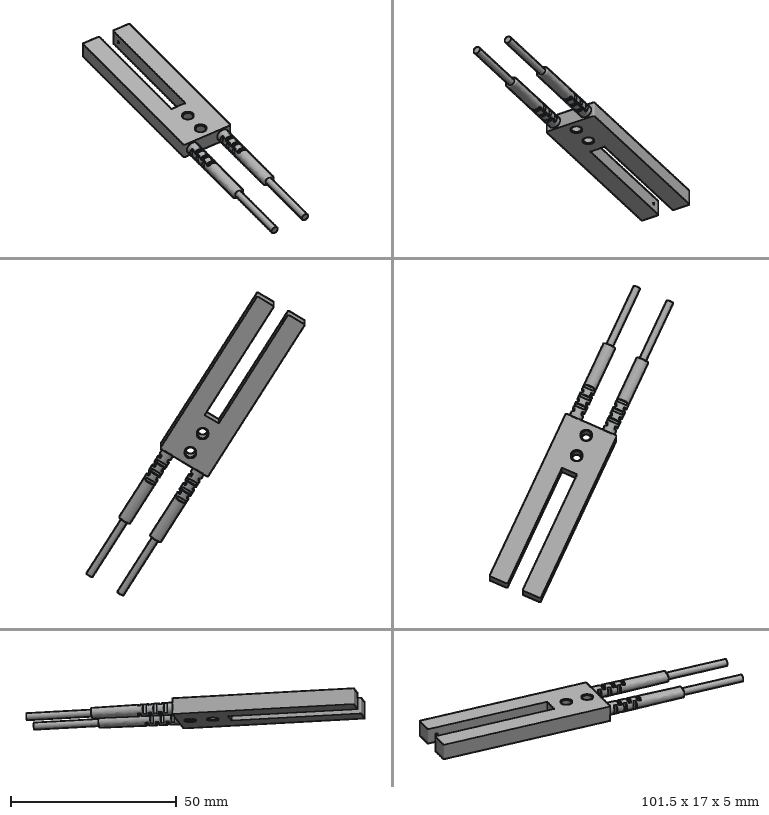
import cadquery as cq

total_length = 101.5

housing_length = 56.0
housing_width = 17.0
housing_height = 5.0
arm_width = 6.0
gap_width = housing_width - 2 * arm_width
gap_depth = 40.0
tip_corner_radius = 0.36
rear_corner_radius = 0.4

hole_diameter = 3.0
hole_chamfer = 0.3
hole_pitch = 7.0
rear_hole_inset = 3.8
rear_hole_x = housing_length - rear_hole_inset
mounting_hole_xs = [rear_hole_x - hole_pitch, rear_hole_x]

lens_diameter = 0.7
lens_depth = 1.0
lens_x = 2.9

cable_diameter = 2.2
cable_spacing = 11.0
relief_end_x = 81.4
relief_length = relief_end_x - housing_length
relief_width = 4.0
relief_base_flat = 0.1
relief_end_height = 3.0
relief_end_radius = 0.2

slots_per_side = 3
slot_pitch = 3.2
first_side_slot_x = housing_length + 2.3
first_upright_slot_x = housing_length + 4.1
slot_floor_width = 0.8
slot_mouth_width = 1.1
slot_floor_offset = 1.2
slot_mouth_offset = relief_width / 2


def make_housing():
    """Two-armed fork with rounded upright edges, mounting holes and optical bores."""
    fork = (
        cq.Workplane("XY")
        .box(housing_length, housing_width, housing_height, centered=(False, True, True))
        .cut(
            cq.Workplane("XY").box(
                gap_depth, gap_width, housing_height, centered=(False, True, True)
            )
        )
    )
    at_tips = cq.selectors.BoxSelector(
        (-tip_corner_radius, -housing_width, -housing_height),
        (tip_corner_radius, housing_width, housing_height),
    )
    around_holes = cq.selectors.BoxSelector(
        (gap_depth, -hole_diameter, -housing_height),
        (rear_hole_x + hole_diameter / 2, hole_diameter, housing_height),
    )
    fork = fork.edges("|Z").edges(at_tips).fillet(tip_corner_radius)
    fork = fork.edges("|Z and >X").fillet(rear_corner_radius)

    mounting_holes = (
        cq.Workplane("XY")
        .pushPoints([(x, 0) for x in mounting_hole_xs])
        .circle(hole_diameter / 2)
        .extrude(housing_height, both=True)
    )
    fork = fork.cut(mounting_holes)
    fork = fork.faces("<Z or >Z").edges("%CIRCLE").edges(around_holes).chamfer(hole_chamfer)

    lens_bores = (
        cq.Workplane("XZ")
        .center(lens_x, 0)
        .circle(lens_diameter / 2)
        .extrude(gap_width / 2 + lens_depth, both=True)
    )
    return fork.cut(lens_bores)


def make_relief():
    """Strain relief of constant width that flattens from a near circle to an obround."""
    return (
        cq.Workplane("YZ", origin=(housing_length, 0, 0))
        .slot2D(relief_width, relief_width - relief_base_flat)
        .workplane(offset=relief_length)
        .slot2D(relief_width, relief_end_height)
        .loft(ruled=True)
        .faces(">X")
        .edges()
        .fillet(relief_end_radius)
    )


def make_slot_cutter(slot_x):
    """Wedge that cuts one slot, wider at its mouth, into the +Y side of a relief."""
    half_floor = slot_floor_width / 2
    half_mouth = slot_mouth_width / 2
    return (
        cq.Workplane("XY")
        .polyline(
            [
                (slot_x - half_floor, slot_floor_offset),
                (slot_x + half_floor, slot_floor_offset),
                (slot_x + half_mouth, slot_mouth_offset),
                (slot_x - half_mouth, slot_mouth_offset),
            ]
        )
        .close()
        .extrude(relief_width, both=True)
    )


def make_cable():
    """Cable and strain relief as one solid on the X axis."""
    cable = make_relief()
    for index in range(slots_per_side):
        side_cutter = make_slot_cutter(first_side_slot_x + index * slot_pitch)
        upright_cutter = make_slot_cutter(first_upright_slot_x + index * slot_pitch)
        for angle in (0, 180):
            cable = cable.cut(side_cutter.rotate((0, 0, 0), (1, 0, 0), angle))
            cable = cable.cut(upright_cutter.rotate((0, 0, 0), (1, 0, 0), angle + 90))
    wire = (
        cq.Workplane("YZ", origin=(relief_end_x, 0, 0))
        .circle(cable_diameter / 2)
        .extrude(total_length - relief_end_x)
    )
    return cable.union(wire)


housing = make_housing()
cables = [make_cable().translate((0, side * cable_spacing / 2, 0)) for side in (-1, 1)]

result = cq.Compound.makeCompound([housing.val(), *[cable.val() for cable in cables]])